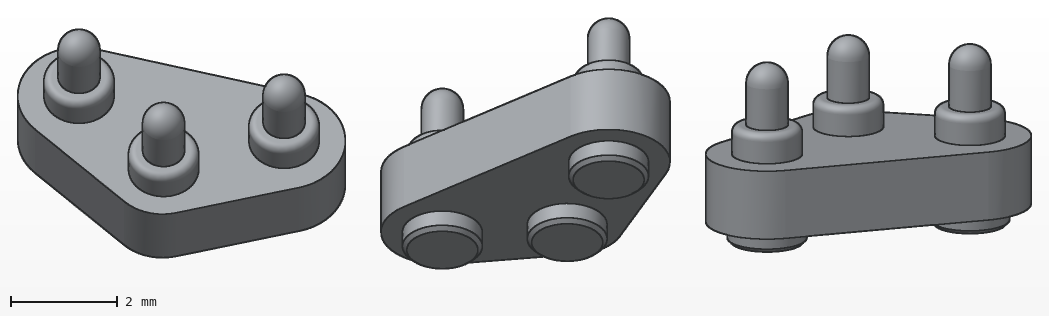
import cadquery as cq
import math

overall_length = 6.3
overall_width = 3.49

pin_pitch = 2.0
rear_radius = overall_length / 2 - pin_pitch
nose_radius = 1.0
nose_center_y = rear_radius + nose_radius - overall_width
housing_height = 1.33

front_pin_y = -1.255
foot_radius = 0.75
foot_height = 0.4
foot_chamfer = 0.08
barrel_radius = 0.66
collar_height = 0.575
collar_fillet = 0.145
plunger_radius = 0.4
plunger_height = 1.205

pin_positions = [(-pin_pitch, 0), (pin_pitch, 0), (0, front_pin_y)]


def make_housing():
    """Rounded triangular plate, underside at Z = 0, with a bore for each pin."""
    center_distance = math.hypot(pin_pitch, nose_center_y)
    center_line_angle = math.atan2(nose_center_y, -pin_pitch)
    normal_angle = center_line_angle + math.acos((rear_radius - nose_radius) / center_distance)
    normal_x = math.cos(normal_angle)
    normal_y = math.sin(normal_angle)

    rear_tangent_x = pin_pitch + rear_radius * normal_x
    rear_tangent_y = rear_radius * normal_y
    nose_tangent_x = nose_radius * normal_x
    nose_tangent_y = nose_center_y + nose_radius * normal_y

    plate = (
        cq.Workplane("XY")
        .moveTo(-pin_pitch, rear_radius)
        .lineTo(pin_pitch, rear_radius)
        .threePointArc((pin_pitch + rear_radius, 0), (rear_tangent_x, rear_tangent_y))
        .lineTo(nose_tangent_x, nose_tangent_y)
        .threePointArc((0, nose_center_y - nose_radius), (-nose_tangent_x, nose_tangent_y))
        .lineTo(-rear_tangent_x, rear_tangent_y)
        .threePointArc((-pin_pitch - rear_radius, 0), (-pin_pitch, rear_radius))
        .close()
        .extrude(housing_height)
    )
    bores = cq.Workplane("XY").pushPoints(pin_positions).circle(barrel_radius).extrude(housing_height)
    return plate.cut(bores)


def make_pin(x, y):
    """Spring contact pin, revolved from its half profile (radius, height)."""
    collar_top = housing_height + collar_height
    plunger_top = collar_top + plunger_height
    dome_base = plunger_top - plunger_radius
    dome_mid = plunger_radius * math.sqrt(0.5)
    fillet_mid = collar_fillet * (1 - math.sqrt(0.5))

    return (
        cq.Workplane("XZ")
        .moveTo(0, -foot_height)
        .lineTo(foot_radius - foot_chamfer, -foot_height)
        .lineTo(foot_radius, foot_chamfer - foot_height)
        .lineTo(foot_radius, 0)
        .lineTo(barrel_radius, 0)
        .lineTo(barrel_radius, collar_top - collar_fillet)
        .threePointArc(
            (barrel_radius - fillet_mid, collar_top - fillet_mid),
            (barrel_radius - collar_fillet, collar_top),
        )
        .lineTo(plunger_radius, collar_top)
        .lineTo(plunger_radius, dome_base)
        .threePointArc((dome_mid, dome_base + dome_mid), (0, plunger_top))
        .close()
        .revolve(360, (0, 0), (0, 1))
        .translate((x, y, 0))
    )


housing = make_housing()

pins = []
for pin_x, pin_y in pin_positions:
    pins.append(make_pin(pin_x, pin_y).val())

result = cq.Compound.makeCompound([housing.val(), *pins])